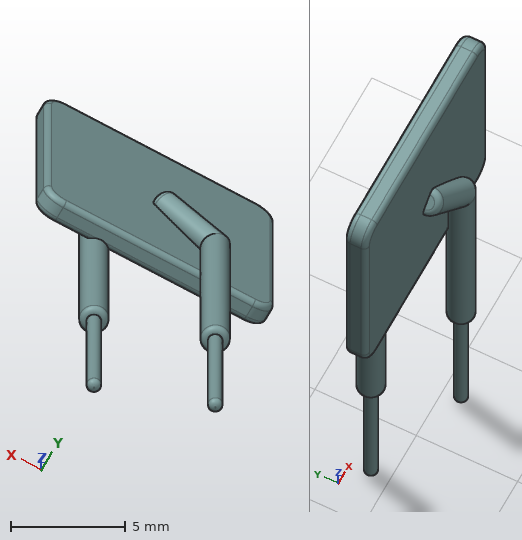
import cadquery as cq

PLATE_SIDE = 11.5
PLATE_THICKNESS = 1.08
PLATE_CORNER_RADIUS = 1.0
PLATE_EDGE_RADIUS = 0.27

COATING_DIAMETER = 1.3
PIN_DIAMETER = 0.65
LEAD_PITCH = 5.08
DEPTH_OVER_LEADS = 3.1
COATING_EDGE_RADIUS = 0.3
PIN_TIP_RADIUS = 0.3
COATING_BELOW_PLATE = 8.0
TOTAL_HEIGHT = 27.1
BEND_BELOW_CENTRE = 2.85

PLATE_FACE_Y = PLATE_THICKNESS / 2
LEAD_X = LEAD_PITCH / 2
LEAD_Y = (DEPTH_OVER_LEADS - COATING_DIAMETER) / 2
COATING_BOTTOM_Z = -PLATE_SIDE / 2 - COATING_BELOW_PLATE
PIN_BOTTOM_Z = PLATE_SIDE / 2 - TOTAL_HEIGHT


def make_plate():
    """Upright square plate with rounded corners and rounded face edges."""
    plate = cq.Workplane("XY").box(PLATE_SIDE, PLATE_THICKNESS, PLATE_SIDE)
    plate = plate.edges("|Y").fillet(PLATE_CORNER_RADIUS)
    return plate.faces("<Y or >Y").edges().fillet(PLATE_EDGE_RADIUS)


def make_coating():
    """Front coated wire: runs straight up, then leans in to the middle of the plate's front face."""
    path = cq.Workplane("XY").polyline([
        (LEAD_X, -LEAD_Y, COATING_BOTTOM_Z),
        (LEAD_X, -LEAD_Y, -BEND_BELOW_CENTRE),
        (0, -PLATE_FACE_Y, 0),
    ])
    coating = (
        cq.Workplane("XY", origin=(LEAD_X, -LEAD_Y, COATING_BOTTOM_Z))
        .circle(COATING_DIAMETER / 2)
        .sweep(path, transition="right")
    )
    return coating.faces("<Z or >Z").edges().fillet(COATING_EDGE_RADIUS)


def make_pin():
    """Bare front pin below the coating, with a rounded tip."""
    pin = (
        cq.Workplane("XY", origin=(LEAD_X, -LEAD_Y, PIN_BOTTOM_Z))
        .circle(PIN_DIAMETER / 2)
        .extrude(COATING_BOTTOM_Z - PIN_BOTTOM_Z)
    )
    return pin.faces("<Z").edges().fillet(PIN_TIP_RADIUS)


front_lead = make_coating().union(make_pin())
back_lead = front_lead.rotate((0, 0, 0), (0, 0, 1), 180)

result = make_plate().union(front_lead).union(back_lead)